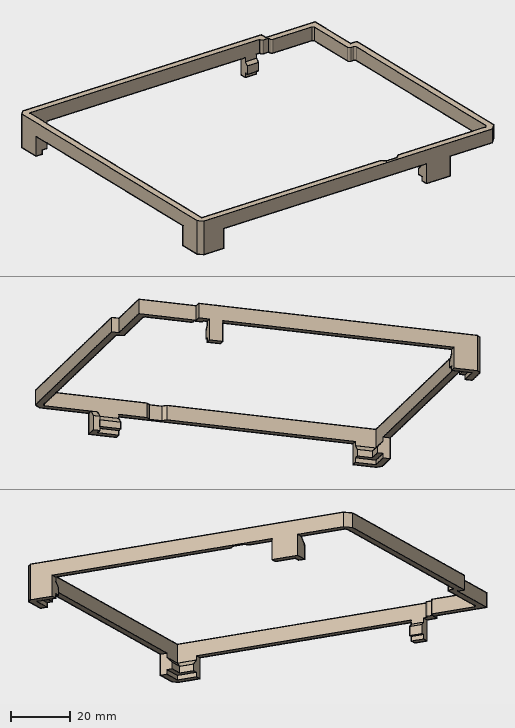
import cadquery as cq

length_x = 104.1
length_y = 124.1
height = 12.7

wall = 2.6
rail_height = 5.2
rail_bottom = height - rail_height
corner_chamfer = 1.6
rear_chamfer = 2.4
inner_chamfer = 0.6

notch_depth = wall
notch_length = 23.1
step_inner = notch_length + wall
side_step_start = 22.7
side_step_x = 3.7
step_round = 0.7

recess_depth = 1.4
recess_start = 39.8
recess_end = 46.9

foot_length = 9.9
lip_depth = 2.0
lip_bottom = 1.6
lip_top = 6.0
left_lip_depth = side_step_x - wall
left_foot_start = 26.9
left_foot_end = 31.6
right_foot_start = 19.9
right_foot_end = 29.8
post_depth = 2.4
post_width = 2.4

inner_right = length_x - wall
inner_rear = length_y - wall


def box(x0, x1, y0, y1, z0, z1):
    return cq.Workplane("XY").box(x1 - x0, y1 - y0, z1 - z0, centered=False).translate((x0, y0, z0))


def make_outer():
    """Full-height block with the stepped corner and chamfered other corners."""
    block = box(0, length_x, 0, length_y, 0, height)
    block = block.edges("|Z and <Y").chamfer(corner_chamfer)
    block = block.edges("|Z and >X and >Y").chamfer(rear_chamfer)
    block = block.cut(box(0, notch_length, length_y - notch_depth, length_y, 0, height))
    return block.cut(box(0, notch_depth, length_y - notch_length, length_y, 0, height))


def make_opening():
    """Inner outline of the rail, swept through the full height."""
    notch_inner = notch_depth + wall
    notch_rear = length_y - notch_inner
    step_y = length_y - side_step_start
    step_end_y = length_y - step_inner
    opening = (
        cq.Workplane("XY")
        .moveTo(wall, wall)
        .lineTo(inner_right, wall)
        .lineTo(inner_right, length_y - recess_end)
        .lineTo(inner_right + recess_depth, length_y - recess_end + recess_depth)
        .lineTo(inner_right + recess_depth, length_y - recess_start - recess_depth)
        .lineTo(inner_right, length_y - recess_start)
        .lineTo(inner_right, inner_rear)
        .lineTo(step_inner, inner_rear)
        .lineTo(step_inner, notch_rear)
        .lineTo(notch_inner, notch_rear)
        .lineTo(notch_inner, step_y)
        .lineTo(side_step_x, step_y)
        .lineTo(side_step_x, step_end_y)
        .lineTo(wall, step_end_y)
        .close()
        .extrude(height)
    )

    def upright(x, y):
        return cq.selectors.BoxSelector((x - 0.1, y - 0.1, -1.2), (x + 0.1, y + 0.1, height + 1.2))

    for x, y in [(inner_right, inner_rear), (notch_inner, notch_rear)]:
        opening = opening.edges(upright(x, y)).chamfer(inner_chamfer)
    rounded = [
        (step_inner, inner_rear),
        (step_inner, notch_rear),
        (notch_inner, step_y),
        (side_step_x, step_end_y),
    ]
    for x, y in rounded:
        opening = opening.edges(upright(x, y)).fillet(step_round)
    return opening


def lip(depth, width, bottom, top):
    """Lip growing along +X from a wall face at X = 0, its top sloping down at 45 degrees."""
    profile = [(0, bottom), (depth, bottom), (depth, top - depth), (0, top)]
    return cq.Workplane("XZ").polyline(profile).close().extrude(-width)


def left_lip(depth, y0, y1, bottom, top):
    return lip(depth, y1 - y0, bottom, top).translate((wall, y0, 0))


def right_lip(depth, y0, y1, bottom, top):
    return lip(depth, y1 - y0, bottom, top).mirror("YZ").translate((inner_right, y0, 0))


def front_lip(x0, x1):
    """Corner lip turned to grow along +Y from the front wall."""
    turned = lip(lip_depth, x1 - x0, lip_bottom, lip_top).rotate((0, 0, 0), (0, 0, 1), 90)
    return turned.translate((x1, wall, 0))


frame = make_outer().cut(make_opening())
foot_zones = [
    box(0, foot_length, 0, foot_length, 0, rail_bottom),
    box(length_x - foot_length, length_x, 0, foot_length, 0, rail_bottom),
    box(0, wall, length_y - left_foot_end, length_y - left_foot_start, 0, rail_bottom),
    box(inner_right, length_x, length_y - right_foot_end, length_y - right_foot_start, 0, rail_bottom),
]
kept = box(0, length_x, 0, length_y, rail_bottom, height)
for zone in foot_zones:
    kept = kept.union(zone)
result = frame.intersect(kept)

result = result.union(left_lip(lip_depth, wall, foot_length, lip_bottom, lip_top))
result = result.union(right_lip(lip_depth, wall, foot_length, lip_bottom, lip_top))
result = result.union(front_lip(wall, foot_length))
result = result.union(front_lip(length_x - foot_length, inner_right))

left_foot_y = (length_y - left_foot_end, length_y - left_foot_start)
right_foot_y = (length_y - right_foot_end, length_y - right_foot_start)
result = result.union(left_lip(left_lip_depth, *left_foot_y, lip_bottom, lip_top))
result = result.union(right_lip(lip_depth, *right_foot_y, lip_bottom, lip_top))

post_front = right_foot_y[1] - post_width
result = result.union(right_lip(post_depth, post_front, right_foot_y[1], 0, rail_bottom))